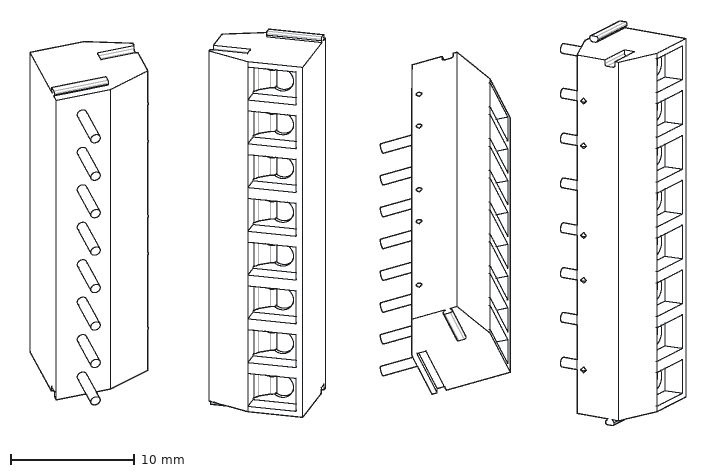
import cadquery as cq
import math

cell_count = 8
pitch = 3.8
body_length = cell_count * pitch
overall_length = 31.48
rail_height = (overall_length - body_length) / 2

body_width = 6.8
body_depth = 8.3
shoulder_y = 4.63
top_inset = 1.45

contact_y = 2.2
pin_diameter = 0.82
pin_length = 3.5

pocket_height = 2.85
pocket_depth = 1.57
pocket_mouth_y = 0.57
pocket_floor_y = 0.72

guard_proud = 0.13
guard_x = pocket_depth - guard_proud
root_bend_radius = 0.5
tip_bend_radius = 0.38
root_bend_y = shoulder_y - root_bend_radius
tip_bend_y = 3.12
guard_tip_y = tip_bend_y - tip_bend_radius
guard_half_width_wall = 1.32
guard_half_width_root = 1.05
guard_half_width_tip = 0.75
contact_hole_radius = 0.98
recess_floor_x = guard_x + root_bend_radius

rail_neck = 0.45
rail_width = 0.8
rail_waist = 0.22
rail_edge_radius = 0.15
top_rail_x = 5.95
bottom_rail_x = 2.27
bottom_rail_start_y = 5.15
top_slot_width = 0.95
top_slot_edge_radius = 0.2

mark_radius = 0.25
mark_x = 4.72
mark_boundaries = (1, 2, 4, 5, 7)

cell_heights = [(i + 0.5) * pitch for i in range(cell_count)]


def prism_along_y(points, y_start, y_end):
    """Extrude an XZ outline from y_start to y_end."""
    plane = cq.Workplane("XZ", origin=(0, y_start, 0))
    return plane.polyline(points).close().extrude(y_start - y_end)


def stepped_outline(center_x, steps):
    """Outline symmetric about center_x, from (width, z) pairs."""
    right = [(center_x + width / 2, z) for width, z in steps]
    left = [(center_x - width / 2, z) for width, z in reversed(steps)]
    return right + left


def make_housing():
    outline = [
        (0, 0),
        (body_width, 0),
        (body_width, shoulder_y),
        (body_width - top_inset, body_depth),
        (top_inset, body_depth),
        (0, shoulder_y),
    ]
    return cq.Workplane("XY").polyline(outline).close().extrude(body_length)


def make_pocket():
    """Space of one wire entry, centred on z = 0, with a sloped -Y wall."""
    outline = [
        (0, pocket_mouth_y),
        (pocket_depth, pocket_floor_y),
        (pocket_depth, shoulder_y),
        (0, shoulder_y),
    ]
    return cq.Workplane("XY").polyline(outline).close().extrude(pocket_height / 2, both=True)


def make_guard_planform():
    """Tapered prism bounding the leaf and the recess it bends into, from the -X face inward."""
    edge = [
        (shoulder_y, guard_half_width_wall),
        (root_bend_y, guard_half_width_root),
        (tip_bend_y, guard_half_width_tip),
        (guard_tip_y, guard_half_width_tip),
    ]
    planform = edge + [(y, -z) for y, z in reversed(edge)]
    return cq.Workplane("YZ").polyline(planform).close().extrude(recess_floor_x)


def make_guard():
    """Solid under the leaf surface: flat in the middle, bent inward at both ends."""
    diagonal = math.sqrt(0.5)
    root_middle = (
        guard_x + root_bend_radius * (1 - diagonal),
        root_bend_y + root_bend_radius * diagonal,
    )
    tip_middle = (
        guard_x + tip_bend_radius * (1 - diagonal),
        tip_bend_y - tip_bend_radius * diagonal,
    )
    profile = (
        cq.Workplane("XY")
        .moveTo(recess_floor_x, shoulder_y)
        .threePointArc(root_middle, (guard_x, root_bend_y))
        .lineTo(guard_x, tip_bend_y)
        .threePointArc(tip_middle, (guard_x + tip_bend_radius, guard_tip_y))
        .lineTo(recess_floor_x, guard_tip_y)
        .close()
        .extrude(pocket_height / 2, both=True)
    )
    return profile.intersect(make_guard_planform())


def make_contact_hole():
    """Round recess for the wire end, partly covered by the leaf tip."""
    plane = cq.Workplane("YZ", origin=(pocket_depth, contact_y, 0))
    return plane.circle(contact_hole_radius).extrude(recess_floor_x - pocket_depth)


def make_cell_cavity():
    """Everything hollow in one cell, centred on z = 0."""
    openings = make_pocket().union(make_guard_planform()).union(make_contact_hole())
    return openings.cut(make_guard())


def make_pins():
    pin_centers = [(contact_y, z) for z in cell_heights]
    plane = cq.Workplane("YZ", origin=(body_width, 0, 0))
    return plane.pushPoints(pin_centers).circle(pin_diameter / 2).extrude(pin_length)


def make_rail(center_x, base_z, direction, y_start, y_end):
    """Rail that widens away from the housing face and has rounded outer edges."""
    steps = [
        (rail_neck, base_z),
        (rail_width, base_z + direction * rail_waist),
        (rail_width, base_z + direction * rail_height),
    ]
    rail = prism_along_y(stepped_outline(center_x, steps), y_start, y_end)
    outer_side = ">Z" if direction > 0 else "<Z"
    return rail.edges("|Y").edges(outer_side).fillet(rail_edge_radius)


def make_top_slot():
    steps = [(top_slot_width, body_length), (top_slot_width, body_length - rail_height)]
    slot = prism_along_y(stepped_outline(bottom_rail_x, steps), bottom_rail_start_y, body_depth)
    return slot.edges("|Y").edges("<Z").fillet(top_slot_edge_radius)


def make_bottom_slot():
    steps = [(rail_width, 0), (rail_width, rail_height)]
    return prism_along_y(stepped_outline(top_rail_x, steps), 0, shoulder_y)


def make_mark(z):
    profile = [(0, -mark_radius), (mark_radius, 0), (0, mark_radius)]
    double_cone = cq.Workplane("XZ").polyline(profile).close().revolve(360, (0, 0), (0, 1))
    return double_cone.translate((mark_x, body_depth, z))


result = make_housing()
cell_cavity = make_cell_cavity()
for cell_z in cell_heights:
    result = result.cut(cell_cavity.translate((0, 0, cell_z)))

result = result.cut(make_top_slot()).cut(make_bottom_slot())
result = result.union(make_pins())
result = result.union(make_rail(top_rail_x, body_length, 1, 0, shoulder_y))
result = result.union(make_rail(bottom_rail_x, 0, -1, bottom_rail_start_y, body_depth))
for boundary in mark_boundaries:
    result = result.union(make_mark(body_length - boundary * pitch))